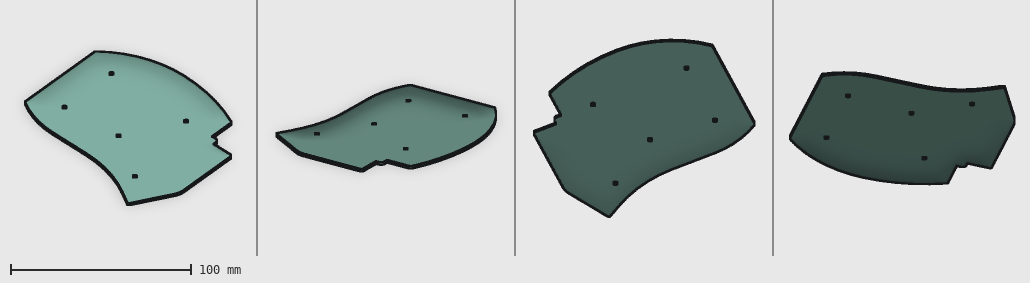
import cadquery as cq
import math

length = 114.0
width = 97.8
thickness = 1.6
corner_radius = 1.1

left_bottom_y = 22.0
left_top_y = 78.9
crown_x = 49.6
crown_left_radius = 74.8
crown_right_radius = 108.1

notch_x = 95.2
step_x = 100.1
step_y = 72.0
step_radius = 2.3
notch_floor_y = 68.0

front_y = 14.0
front_run_start_x = 28.3
front_run_end_x = 54.4
front_turn_radius = 72.8
tip_angle = math.radians(30)
side_blend_radius = 11.4

hole_diameter = 2.2
hole_centers = [(19.0, 71.7), (76.1, 71.3), (19.0, 33.8), (57.0, 37.0), (86.4, 18.7)]


def arc_point(center, radius, angle):
    """Point on a circle at an angle measured from +X."""
    return (center[0] + radius * math.cos(angle), center[1] + radius * math.sin(angle))


def crown_point(x, radius):
    """Point at x on a crown arc that is level at the peak."""
    return (x, width - radius + math.sqrt(radius**2 - (x - crown_x) ** 2))


hollow_rise = left_bottom_y - front_y
hollow_radius = (front_run_start_x**2 + hollow_rise**2) / (2 * hollow_rise)
hollow_center = (front_run_start_x, front_y + hollow_radius)
hollow_half_angle = math.asin(front_run_start_x / hollow_radius) / 2
hollow_mid = arc_point(hollow_center, hollow_radius, -math.pi / 2 - hollow_half_angle)

turn_center = (front_run_end_x, front_y - front_turn_radius)
turn_mid = arc_point(turn_center, front_turn_radius, math.pi / 2 - tip_angle / 2)
turn_end = arc_point(turn_center, front_turn_radius, math.pi / 2 - tip_angle)

tip_y = -corner_radius * (math.sin(tip_angle) + math.cos(tip_angle) - 1)
tip = (turn_end[0] + (turn_end[1] - tip_y) / math.tan(tip_angle), tip_y)
side_bend = (length, tip_y + (length - tip[0]) / math.tan(tip_angle))

left_bottom = (0, left_bottom_y)
left_top = (0, left_top_y)
crown_left_mid = crown_point(crown_x / 2, crown_left_radius)
crown_right_mid = crown_point((crown_x + notch_x) / 2, crown_right_radius)
crown_end = crown_point(notch_x, crown_right_radius)
step_corner = (step_x, step_y)
right_top = (length, notch_floor_y)

plate = (
    cq.Workplane("XY")
    .moveTo(*left_bottom)
    .threePointArc(hollow_mid, (front_run_start_x, front_y))
    .lineTo(front_run_end_x, front_y)
    .threePointArc(turn_mid, turn_end)
    .lineTo(*tip)
    .lineTo(*side_bend)
    .lineTo(*right_top)
    .lineTo(step_x, notch_floor_y)
    .lineTo(*step_corner)
    .lineTo(notch_x, step_y)
    .lineTo(*crown_end)
    .threePointArc(crown_right_mid, (crown_x, width))
    .threePointArc(crown_left_mid, left_top)
    .close()
    .extrude(thickness)
)


def round_corner(body, corner, radius):
    """Round the vertical edge that stands at an outline corner."""
    edge_middle = (corner[0], corner[1], thickness / 2)
    return body.edges(cq.selectors.NearestToPointSelector(edge_middle)).fillet(radius)


for corner in (left_bottom, left_top, crown_end, right_top, tip):
    plate = round_corner(plate, corner, corner_radius)
plate = round_corner(plate, step_corner, step_radius)
plate = round_corner(plate, side_bend, side_blend_radius)

holes = cq.Workplane("XY").pushPoints(hole_centers).circle(hole_diameter / 2).extrude(thickness)
result = plate.cut(holes)